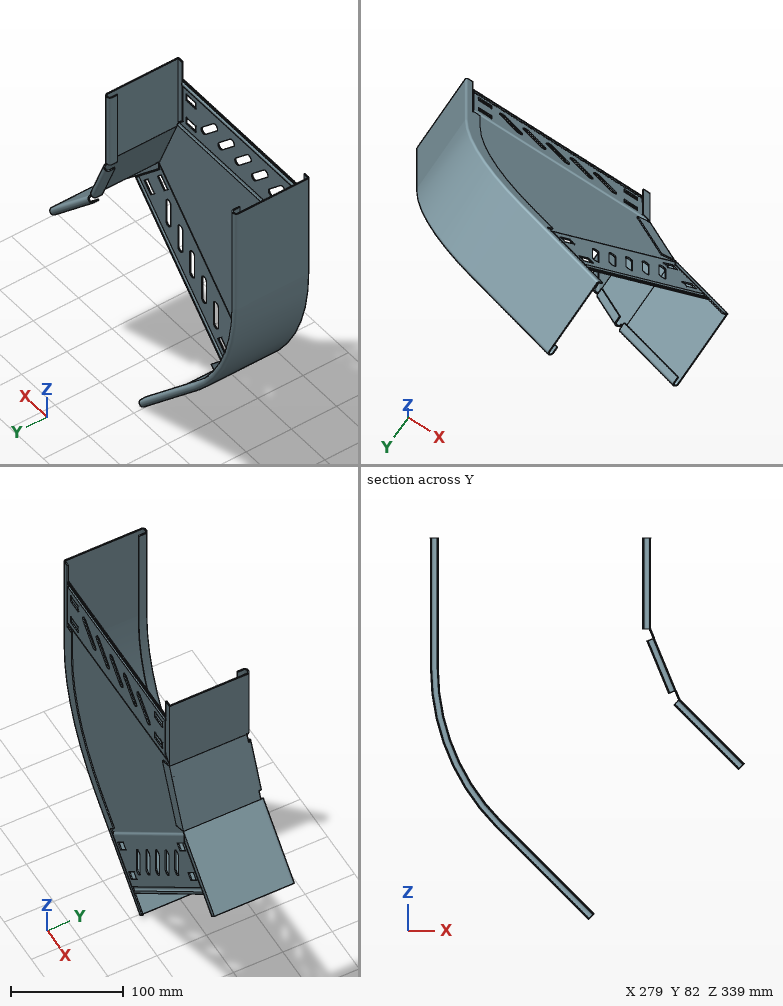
import cadquery as cq
import math


overall_height = 339.0
tray_depth = 82.0
tray_width = 196.0
sheet = 1.25
bend_angle = 45.0
outer_radius = 200.0

hook_bend = 3.5
hook_return = 9.5
outer_hook = 7.5
inner_hook = 7.5
middle_hook_setback = 8.5

outer_foot_bend = 2.0
outer_arm_flange = 7.0
outer_curve_flange = 15.0
outer_curve_flange_start = 82.7
inner_arm_length = 81.0
inner_arm_flange = 7.0
inner_arm_flange_length = 71.2
inner_middle_flange = 14.2

strip_side_gap = 8.0
strip_corner_start = 71.5
strip_end = 21.0
strip_groove = 25.5
groove_half_width = 2.0
strip_flat_end = 76.3
joggle_bend = 1.7

slot_length = 31.5
slot_width = 7.0
slot_tilt = -45.0
slot_pitch = 25.0
slot_count = 5
slot_row = 51.0
window_length = 14.2
window_height = 7.5
window_offset = 77.5
window_rows = (38.0, 66.0)

sin_bend = math.sin(math.radians(bend_angle))
cos_bend = math.cos(math.radians(bend_angle))
sin_half = math.sin(math.radians(bend_angle / 2))
cos_half = math.cos(math.radians(bend_angle / 2))
outer_arm_length = (overall_height - outer_radius * sin_bend) / (1 + cos_bend)
bend_center = (outer_radius, -outer_arm_length)
mirror_normal = cq.Vector(sin_half, 0, -cos_half)
wall_top = tray_depth - hook_bend

joggle_outer_bend = joggle_bend + sheet
joggle_angle = math.acos(1 - sheet / (joggle_outer_bend + joggle_bend))
joggle_run = (joggle_outer_bend + joggle_bend) * math.sin(joggle_angle)
joggle_outer_run = joggle_outer_bend * math.sin(joggle_angle)
joggle_outer_rise = joggle_outer_bend * (1 - math.cos(joggle_angle))
joggle_inner_run = joggle_bend * math.sin(joggle_angle)
joggle_inner_rise = joggle_bend * (1 - math.cos(joggle_angle))
strip_joint = strip_flat_end + joggle_run

groove_radius = (groove_half_width ** 2 + sheet ** 2) / (2 * sheet)
ridge_radius = groove_radius + sheet
ridge_half_width = math.sqrt(ridge_radius ** 2 - groove_radius ** 2)


def mirrored_point(x, z):
    """Point of the second arm that matches the point (x, z) of the first arm."""
    distance = (x - bend_center[0]) * sin_half - (z - bend_center[1]) * cos_half
    return (x - 2 * distance * sin_half, z + 2 * distance * cos_half)


def mirrored(body):
    return body.mirror(mirror_normal, (bend_center[0], 0, bend_center[1]))


def plate(points, thickness):
    """Flat plate with a polygon outline in the XZ plane, standing on Y = 0."""
    return cq.Workplane("XZ").polyline(points).close().extrude(-thickness)


def hook_profile(plane, width):
    """Hooked sheet edge above a wall: local x points into the tray and local y along +Y."""
    inner_bend = hook_bend - sheet
    crown = tray_depth - sheet
    return (
        cq.Workplane(plane)
        .moveTo(0, wall_top)
        .radiusArc((hook_bend, tray_depth), hook_bend)
        .lineTo(width - hook_bend, tray_depth)
        .radiusArc((width, wall_top), hook_bend)
        .lineTo(width, tray_depth - hook_return)
        .lineTo(width - sheet, tray_depth - hook_return)
        .lineTo(width - sheet, wall_top)
        .radiusArc((width - hook_bend, crown), -inner_bend)
        .lineTo(hook_bend, crown)
        .radiusArc((sheet, wall_top), -inner_bend)
        .close()
    )


def outer_wall_profile(plane, flange):
    """Wall of the outer rail with its rounded foot and bottom flange."""
    return (
        cq.Workplane(plane)
        .moveTo(0, wall_top)
        .lineTo(0, outer_foot_bend)
        .radiusArc((outer_foot_bend, 0), -outer_foot_bend)
        .lineTo(flange, 0)
        .lineTo(flange, sheet)
        .lineTo(outer_foot_bend, sheet)
        .radiusArc((sheet, outer_foot_bend), outer_foot_bend - sheet)
        .lineTo(sheet, wall_top)
        .close()
    )


def outer_rail():
    end_plane = cq.Plane(origin=(0, 0, 0), xDir=(1, 0, 0), normal=(0, 0, 1))
    flange_plane = cq.Plane(origin=(0, 0, -outer_curve_flange_start), xDir=(1, 0, 0), normal=(0, 0, 1))
    curve_plane = cq.Plane(origin=(0, 0, -outer_arm_length), xDir=(1, 0, 0), normal=(0, 0, 1))
    wide_length = outer_arm_length - outer_curve_flange_start
    axis = ((outer_radius, 3.5), (outer_radius, 0))

    arm = (
        hook_profile(end_plane, outer_hook).extrude(-outer_arm_length)
        .union(outer_wall_profile(end_plane, outer_arm_flange).extrude(-outer_arm_length))
        .union(outer_wall_profile(flange_plane, outer_curve_flange).extrude(-wide_length))
    )
    curve = (
        hook_profile(curve_plane, outer_hook).revolve(bend_angle, *axis)
        .union(outer_wall_profile(curve_plane, outer_curve_flange).revolve(bend_angle, *axis))
    )
    return curve.union(arm).union(mirrored(arm))


inner_corner = (tray_width, -inner_arm_length)
inner_wall_corner = (
    tray_width - sheet,
    -inner_arm_length - sheet * math.tan(math.radians(bend_angle / 4)),
)


def inner_rail():
    wall = plate(
        [
            (tray_width, 0),
            inner_corner,
            mirrored_point(*inner_corner),
            mirrored_point(tray_width, 0),
            mirrored_point(tray_width - sheet, 0),
            mirrored_point(*inner_wall_corner),
            inner_wall_corner,
            (tray_width - sheet, 0),
        ],
        wall_top,
    )

    arm_plane = cq.Plane(origin=(tray_width, 0, 0), xDir=(-1, 0, 0), normal=(0, 0, -1))
    arm_hook = hook_profile(arm_plane, inner_hook).extrude(inner_arm_length)
    arm_flange = plate(
        [
            (tray_width, 0),
            (tray_width, -inner_arm_flange_length - inner_arm_flange),
            (tray_width - inner_arm_flange, -inner_arm_flange_length),
            (tray_width - inner_arm_flange, 0),
        ],
        sheet,
    )
    arm = arm_hook.union(arm_flange)

    far_corner = mirrored_point(*inner_corner)
    middle_length = math.dist(inner_corner, far_corner)
    hook_start = (
        inner_corner[0] + middle_hook_setback * sin_half,
        0,
        inner_corner[1] - middle_hook_setback * cos_half,
    )
    middle_plane = cq.Plane(origin=hook_start, xDir=(-cos_half, 0, -sin_half), normal=mirror_normal)
    middle_hook = hook_profile(middle_plane, inner_hook).extrude(middle_length - 2 * middle_hook_setback)
    flange_corner = (
        inner_corner[0] - inner_middle_flange * cos_half,
        inner_corner[1] - inner_middle_flange * sin_half,
    )
    middle_flange = plate(
        [inner_corner, far_corner, mirrored_point(*flange_corner), flange_corner],
        sheet,
    )
    return wall.union(arm).union(mirrored(arm)).union(middle_hook).union(middle_flange)


def perforation():
    """Slots and rectangular windows of the strip in the first arm."""
    middle = tray_width / 2
    slot_places = [
        (middle + (index - (slot_count - 1) / 2) * slot_pitch, -slot_row) for index in range(slot_count)
    ]
    window_places = [
        (middle + side * window_offset, -row) for side in (-1, 1) for row in window_rows
    ]
    slots = (
        cq.Workplane("XZ").pushPoints(slot_places)
        .slot2D(slot_length, slot_width, slot_tilt).extrude(-sheet)
    )
    windows = cq.Workplane("XZ").pushPoints(window_places).rect(window_length, window_height).extrude(-sheet)
    return slots.union(windows)


def floor_strip():
    """Pressed strip across the first arm, level with the arm flanges."""
    strip_width = tray_width - sheet - strip_side_gap
    strip = (
        cq.Workplane("ZY", origin=(strip_side_gap, 0, 0))
        .moveTo(-strip_end, 0)
        .lineTo(-strip_groove + groove_half_width, 0)
        .radiusArc((-strip_groove - groove_half_width, 0), -groove_radius)
        .lineTo(-strip_flat_end, 0)
        .radiusArc((-strip_flat_end - joggle_outer_run, joggle_outer_rise), joggle_outer_bend)
        .radiusArc((-strip_joint, sheet), -joggle_bend)
        .lineTo(-strip_joint, 2 * sheet)
        .radiusArc((-strip_flat_end - joggle_inner_run, sheet + joggle_inner_rise), -joggle_outer_bend)
        .radiusArc((-strip_flat_end, sheet), joggle_bend)
        .lineTo(-strip_groove - ridge_half_width, sheet)
        .radiusArc((-strip_groove + ridge_half_width, sheet), ridge_radius)
        .lineTo(-strip_end, sheet)
        .close()
        .extrude(-strip_width)
    )
    flange_clearance = plate(
        [
            (tray_width, 0),
            (tray_width, -strip_corner_start - strip_side_gap),
            (tray_width - strip_side_gap, -strip_corner_start),
            (tray_width - strip_side_gap, 0),
        ],
        3 * sheet,
    )
    return strip.cut(flange_clearance).cut(perforation())


def floor():
    outer_start = (outer_foot_bend, -strip_joint)
    curve_start = (outer_foot_bend, -outer_arm_length)
    curve_middle = (
        bend_center[0] - (outer_radius - outer_foot_bend) * cos_half,
        bend_center[1] - (outer_radius - outer_foot_bend) * sin_half,
    )
    inner_start = (tray_width - sheet, -strip_joint)
    middle = (
        cq.Workplane("XZ", origin=(0, sheet, 0))
        .moveTo(*outer_start)
        .lineTo(*curve_start)
        .threePointArc(curve_middle, mirrored_point(*curve_start))
        .lineTo(*mirrored_point(*outer_start))
        .lineTo(*mirrored_point(*inner_start))
        .lineTo(*mirrored_point(*inner_wall_corner))
        .lineTo(*inner_wall_corner)
        .lineTo(*inner_start)
        .close()
        .extrude(-sheet)
    )
    strip = floor_strip()
    return middle.union(strip).union(mirrored(strip))


result = cq.Compound.makeCompound([outer_rail().val(), inner_rail().val(), floor().val()])